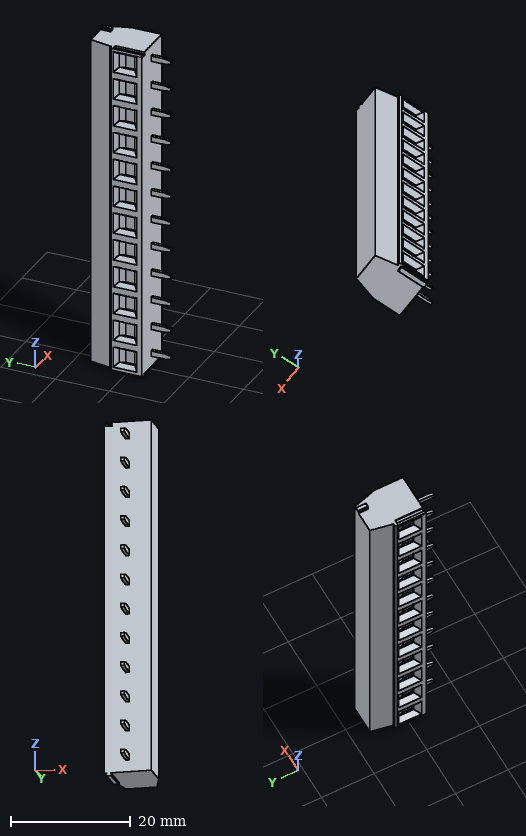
import cadquery as cq

WAYS = 12
PITCH = 5.08
LENGTH = WAYS * PITCH

WIDTH = 8.1
DEPTH = 10.0
LEFT = -WIDTH / 2
RIGHT = WIDTH / 2
PIN_FACE = 0.0
TOP_FACE = PIN_FACE + DEPTH
TOP_HALF_WIDTH = 2.7
LEFT_SHOULDER_X = -3.45
LEDGE_Y = TOP_FACE - 4.1
LEDGE_BEVEL_X = 0.16
LEDGE_BEVEL_Y = 0.35
RIGHT_SHOULDER_Y = TOP_FACE - 4.5

PIN_THICKNESS = 0.6
PIN_WIDTH = 1.0
PIN_LENGTH = 3.65
PIN_TAPER_LENGTH = 1.15
PIN_TIP_WIDTH = 0.6
PIN_ROOT = 1.0

ENTRY_TOP_Y = TOP_FACE - 4.8
ENTRY_BOTTOM_Y = TOP_FACE - 9.15
ENTRY_HEIGHT = 3.8
FUNNEL_DEPTH = 1.15
FUNNEL_INSET_Z = 0.53
FUNNEL_INSET_TOP = 0.6
FUNNEL_INSET_BOTTOM = 0.9
CLAMP_DEPTH = 0.35
CLAMP_SLOPE_LENGTH = 0.95

JOINT_X = -3.27
JOINT_NECK = 0.65
JOINT_WIDE = 1.15
JOINT_END_Y = TOP_FACE - 4.7
TAIL_HEIGHT = 0.5
TAIL_WIDEST_DEPTH = 0.25
TAIL_TIP = 0.92
GROOVE_DEPTH = 0.6

KEY_LEFT_X = 1.2
KEY_RIGHT_X = 2.1
KEY_LENGTH = 1.87
KEY_HEIGHT = 0.5
KEY_BEVEL = 0.2


def housing():
    outline = [
        (LEFT, PIN_FACE),
        (RIGHT, PIN_FACE),
        (RIGHT, RIGHT_SHOULDER_Y),
        (TOP_HALF_WIDTH, TOP_FACE),
        (-TOP_HALF_WIDTH, TOP_FACE),
        (LEFT_SHOULDER_X, LEDGE_Y),
        (LEFT + LEDGE_BEVEL_X, LEDGE_Y),
        (LEFT, LEDGE_Y - LEDGE_BEVEL_Y),
    ]
    return cq.Workplane("XY").polyline(outline).close().extrude(LENGTH)


def extrude_along_y(outline_xz, start_y, end_y):
    """Extrude a closed X-Z outline from start_y up to end_y."""
    plane = cq.Workplane("XZ", origin=(0, start_y, 0))
    return plane.polyline(outline_xz).close().extrude(start_y - end_y)


def joint_profile(stations):
    """Extrude a profile symmetric about JOINT_X, given (z, width) at each station."""
    left_side = [(JOINT_X - width / 2, z) for z, width in stations]
    right_side = [(JOINT_X + width / 2, z) for z, width in reversed(stations)]
    return extrude_along_y(left_side + right_side, PIN_FACE, JOINT_END_Y)


def tail():
    return joint_profile([(0, JOINT_NECK), (-TAIL_WIDEST_DEPTH, JOINT_WIDE), (-TAIL_HEIGHT, TAIL_TIP)])


def groove():
    return joint_profile([(LENGTH, JOINT_NECK), (LENGTH - GROOVE_DEPTH, JOINT_WIDE)])


def key():
    top_z = LENGTH + KEY_HEIGHT
    outline = [
        (KEY_LEFT_X, LENGTH),
        (KEY_RIGHT_X, LENGTH),
        (KEY_RIGHT_X, top_z),
        (KEY_LEFT_X + KEY_BEVEL, top_z),
        (KEY_LEFT_X, top_z - KEY_BEVEL),
    ]
    return extrude_along_y(outline, TOP_FACE - KEY_LENGTH, TOP_FACE)


def pin(z):
    tip_y = PIN_FACE - PIN_LENGTH
    taper_y = tip_y + PIN_TAPER_LENGTH
    root_y = PIN_FACE + PIN_ROOT
    outline = [
        (root_y, z - PIN_WIDTH / 2),
        (taper_y, z - PIN_WIDTH / 2),
        (tip_y, z - PIN_TIP_WIDTH / 2),
        (tip_y, z + PIN_TIP_WIDTH / 2),
        (taper_y, z + PIN_WIDTH / 2),
        (root_y, z + PIN_WIDTH / 2),
    ]
    plane = cq.Workplane("YZ", origin=(-PIN_THICKNESS / 2, 0, 0))
    return plane.polyline(outline).close().extrude(PIN_THICKNESS)


def wire_entry(z):
    """Material removed for one wire entry centred at height z."""
    floor_top_y = ENTRY_TOP_Y - FUNNEL_INSET_TOP
    floor_bottom_y = ENTRY_BOTTOM_Y + FUNNEL_INSET_BOTTOM
    floor_height = ENTRY_HEIGHT - 2 * FUNNEL_INSET_Z
    mouth_y = (ENTRY_TOP_Y + ENTRY_BOTTOM_Y) / 2
    floor_y = (floor_top_y + floor_bottom_y) / 2
    funnel = (
        cq.Workplane("YZ", origin=(LEFT, mouth_y, z))
        .rect(ENTRY_TOP_Y - ENTRY_BOTTOM_Y, ENTRY_HEIGHT)
        .workplane(offset=FUNNEL_DEPTH)
        .center(floor_y - mouth_y, 0)
        .rect(floor_top_y - floor_bottom_y, floor_height)
        .loft(ruled=True)
    )

    floor_x = LEFT + FUNNEL_DEPTH
    clamp_x = floor_x + CLAMP_DEPTH
    clamp_outline = [
        (floor_x, floor_top_y),
        (clamp_x, floor_top_y - CLAMP_SLOPE_LENGTH),
        (clamp_x, floor_bottom_y),
        (floor_x, floor_bottom_y),
    ]
    clamp = (
        cq.Workplane("XY", origin=(0, 0, z - floor_height / 2))
        .polyline(clamp_outline)
        .close()
        .extrude(floor_height)
    )
    return funnel.union(clamp)


result = housing()
result = result.union(tail())
result = result.cut(groove())
result = result.union(key())
for way in range(WAYS):
    way_z = (way + 0.5) * PITCH
    result = result.union(pin(way_z))
    result = result.cut(wire_entry(way_z))